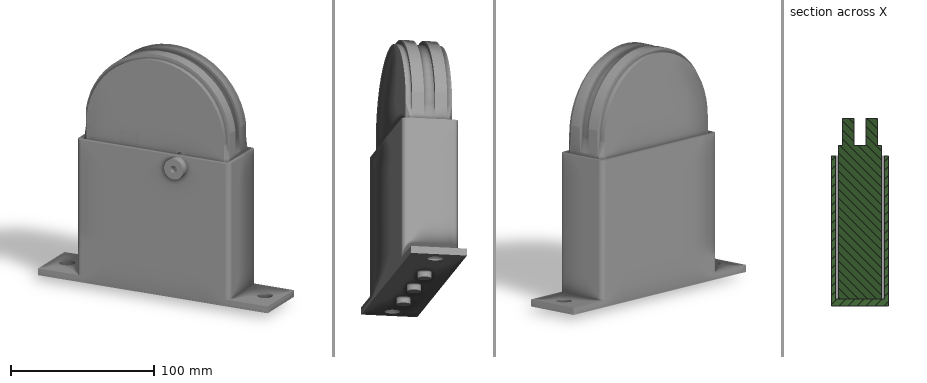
import cadquery as cq
import math

PLATE_LENGTH = 180.0
HOUSING_DEPTH = 40.0
PLATE_THICKNESS = 5.0
MOUNT_HOLE_X = 77.5
MOUNT_HOLE_DIAMETER = 11.0

TUBE_LENGTH = 120.0
TUBE_WALL = 3.0
TUBE_CORNER_RADIUS = 3.6
TUBE_TOP = 105.0
TUBE_HEIGHT = TUBE_TOP - PLATE_THICKNESS
CAVITY_LENGTH = TUBE_LENGTH - 2 * TUBE_WALL
CAVITY_DEPTH = HOUSING_DEPTH - 2 * TUBE_WALL
CAVITY_CORNER_RADIUS = TUBE_CORNER_RADIUS - TUBE_WALL
FRONT_Y = -HOUSING_DEPTH / 2

LOCK_X = 19.5
LOCK_BORE_DIAMETER = 5.0
BOSS_Z = 96.8
BOSS_DIAMETER = 15.0
BOSS_LENGTH = 6.1

INSERT_HALF_LENGTH = 56.5
INSERT_DEPTH = 33.0
INSERT_CORNER_CHAMFER = 2.5
ARCH_CENTER_Z = 117.0
RIB_RADIUS = 57.0
ARCH_RADIUS = 54.0
RAMP_BOTTOM_Z = 107.1
GROOVE_WIDTH = 8.0
RIB_WIDTH = 8.5
RIB_CENTER_Y = (GROOVE_WIDTH + RIB_WIDTH) / 2

LOCK_TRAVEL = 7.2
LOCK_HOLE_Z = BOSS_Z + LOCK_TRAVEL
LOCK_HOLE_DEPTH = 9.0

MARK_SIZE = 15.0
MARK_DEPTH = 0.2
MARK_X = -20.7
MARK_TOP_Z = 116.0

PIN_DIAMETER = 10.0
PIN_PROJECTION = 4.5
PIN_SPACING = 38.0
PIN_POSITIONS = [(-PIN_SPACING, 0), (0, 0), (PIN_SPACING, 0)]


def rod_along_y(diameter, x, z, start_y, length):
    """Round rod that runs from start_y toward +Y."""
    axis_plane = cq.Plane(origin=(x, start_y, z), xDir=(1, 0, 0), normal=(0, 1, 0))
    return cq.Workplane(axis_plane).circle(diameter / 2).extrude(length)


def rounded_block(length, depth, height, radius, bottom_z):
    """Upright block with rounded vertical edges."""
    block = cq.Workplane("XY").workplane(offset=bottom_z).rect(length, depth).extrude(height)
    return block.edges("|Z").fillet(radius)


def make_housing():
    plate = (
        cq.Workplane("XY")
        .rect(PLATE_LENGTH, HOUSING_DEPTH)
        .extrude(PLATE_THICKNESS)
    )
    tube = rounded_block(TUBE_LENGTH, HOUSING_DEPTH, TUBE_HEIGHT, TUBE_CORNER_RADIUS, PLATE_THICKNESS)
    cavity = rounded_block(CAVITY_LENGTH, CAVITY_DEPTH, TUBE_HEIGHT, CAVITY_CORNER_RADIUS, PLATE_THICKNESS)
    boss_start = FRONT_Y - BOSS_LENGTH
    boss = rod_along_y(BOSS_DIAMETER, LOCK_X, BOSS_Z, boss_start, BOSS_LENGTH)
    bore = rod_along_y(LOCK_BORE_DIAMETER, LOCK_X, BOSS_Z, boss_start, BOSS_LENGTH + TUBE_WALL)
    mount_holes = (
        cq.Workplane("XY")
        .pushPoints([(-MOUNT_HOLE_X, 0), (MOUNT_HOLE_X, 0)])
        .circle(MOUNT_HOLE_DIAMETER / 2)
        .extrude(PLATE_THICKNESS)
    )
    pin_holes = (
        cq.Workplane("XY")
        .pushPoints(PIN_POSITIONS)
        .circle(PIN_DIAMETER / 2)
        .extrude(PLATE_THICKNESS)
    )
    return plate.union(tube).union(boss).cut(cavity).cut(bore).cut(mount_holes).cut(pin_holes)


def make_arched_body():
    """Full-depth body: ramps lead from the block sides in to the smaller arch."""
    return (
        cq.Workplane("XZ")
        .moveTo(-INSERT_HALF_LENGTH, PLATE_THICKNESS)
        .lineTo(INSERT_HALF_LENGTH, PLATE_THICKNESS)
        .lineTo(INSERT_HALF_LENGTH, RAMP_BOTTOM_Z)
        .lineTo(ARCH_RADIUS, ARCH_CENTER_Z)
        .threePointArc((0, ARCH_CENTER_Z + ARCH_RADIUS), (-ARCH_RADIUS, ARCH_CENTER_Z))
        .lineTo(-INSERT_HALF_LENGTH, RAMP_BOTTOM_Z)
        .close()
        .extrude(INSERT_DEPTH / 2, both=True)
    )


def make_rib(center_y):
    """Rib with straight sides that meet a larger arch on the same center."""
    shoulder_z = ARCH_CENTER_Z + math.sqrt(RIB_RADIUS**2 - INSERT_HALF_LENGTH**2)
    return (
        cq.Workplane("XZ")
        .moveTo(-INSERT_HALF_LENGTH, PLATE_THICKNESS)
        .lineTo(INSERT_HALF_LENGTH, PLATE_THICKNESS)
        .lineTo(INSERT_HALF_LENGTH, shoulder_z)
        .threePointArc((0, ARCH_CENTER_Z + RIB_RADIUS), (-INSERT_HALF_LENGTH, shoulder_z))
        .close()
        .extrude(RIB_WIDTH / 2, both=True)
        .translate((0, center_y, 0))
    )


def make_insert():
    chamfered_block = (
        cq.Workplane("XY")
        .workplane(offset=PLATE_THICKNESS)
        .rect(2 * INSERT_HALF_LENGTH, INSERT_DEPTH)
        .extrude(ARCH_CENTER_Z + RIB_RADIUS)
        .edges("|Z")
        .chamfer(INSERT_CORNER_CHAMFER)
    )
    insert = make_arched_body()
    for center_y in (-RIB_CENTER_Y, RIB_CENTER_Y):
        insert = insert.union(make_rib(center_y))
    insert = insert.intersect(chamfered_block)

    face_y = -INSERT_DEPTH / 2
    lock_hole = rod_along_y(LOCK_BORE_DIAMETER, LOCK_X, LOCK_HOLE_Z, face_y, LOCK_HOLE_DEPTH)
    square_mark = cq.Workplane("XY").box(MARK_SIZE, MARK_DEPTH, MARK_SIZE).translate(
        (MARK_X, face_y + MARK_DEPTH / 2, MARK_TOP_Z - MARK_SIZE / 2)
    )
    return insert.cut(lock_hole).cut(square_mark)


def make_pin(x, y):
    """Pin that fills the plate thickness and projects below it."""
    return (
        cq.Workplane("XY")
        .workplane(offset=-PIN_PROJECTION)
        .center(x, y)
        .circle(PIN_DIAMETER / 2)
        .extrude(PIN_PROJECTION + PLATE_THICKNESS)
    )


housing = make_housing()
insert = make_insert()
pins = [make_pin(x, y).val() for x, y in PIN_POSITIONS]

result = cq.Compound.makeCompound([housing.val(), insert.val(), *pins])